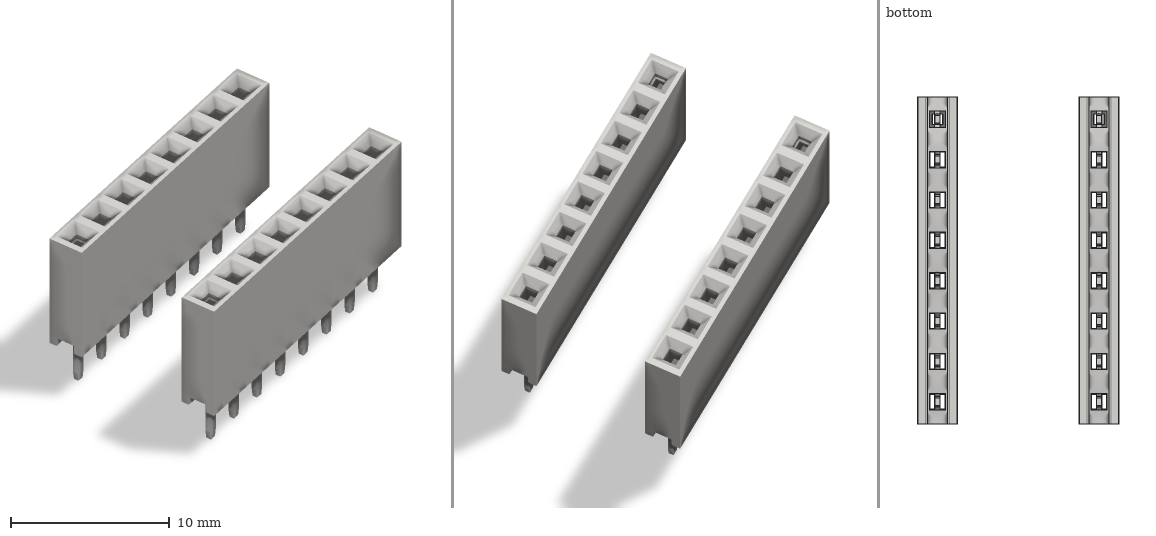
import cadquery as cq

ROW_SPACING = 10.17
CONTACT_COUNT = 8
END_MARGIN = 1.4

HOUSING_LENGTH = 20.58
HOUSING_WIDTH = 2.5
HOUSING_HEIGHT = 8.5

CHANNEL_WIDTH = 1.28
CHANNEL_DEPTH = 0.64
FOOT_ROUND = 0.12

FUNNEL_MOUTH = 1.91
FUNNEL_DEPTH = 0.54
NECK_SIZE = 0.93
NECK_LENGTH = 0.33
CAVITY_SIZE = 1.03

END_HOLE_SIZE = 0.64
END_PLATE_THICKNESS = 0.15

CONTACT_THICKNESS = 0.35
PIN_WIDTH = 0.65
PIN_TIP_WIDTH = 0.45
PIN_TAPER_LENGTH = 0.64
PIN_LENGTH = 3.21
BLADE_DROP = 1.03
BLADE_PROTRUSION = 0.06

FUNNEL_BOTTOM_Z = HOUSING_HEIGHT - FUNNEL_DEPTH
NECK_BOTTOM_Z = FUNNEL_BOTTOM_Z - NECK_LENGTH
BLADE_TOP_Z = FUNNEL_BOTTOM_Z - BLADE_DROP
BLADE_BOTTOM_Z = CHANNEL_DEPTH - BLADE_PROTRUSION
FIRST_CONTACT_Y = END_MARGIN - HOUSING_LENGTH / 2
CONTACT_PITCH = (HOUSING_LENGTH - 2 * END_MARGIN) / (CONTACT_COUNT - 1)


def box_between(size_x, size_y, bottom_z, top_z):
    """Box centred on the Z axis, from bottom_z to top_z."""
    return (
        cq.Workplane("XY")
        .workplane(offset=bottom_z)
        .rect(size_x, size_y)
        .extrude(top_z - bottom_z)
    )


def make_housing_blank():
    """Plain housing bar with the rounded channel along its underside."""
    blank = box_between(HOUSING_WIDTH, HOUSING_LENGTH, 0, HOUSING_HEIGHT)
    channel = box_between(CHANNEL_WIDTH, HOUSING_LENGTH, 0, CHANNEL_DEPTH)
    inner_foot_edges = cq.selectors.BoxSelector(
        (-HOUSING_WIDTH / 2 + FOOT_ROUND, -HOUSING_LENGTH, -FOOT_ROUND),
        (HOUSING_WIDTH / 2 - FOOT_ROUND, HOUSING_LENGTH, FOOT_ROUND),
    )
    return blank.cut(channel).edges("|Y").edges(inner_foot_edges).fillet(FOOT_ROUND)


def make_socket(is_end):
    """Empty space of one socket: funnel, neck and cavity down to the channel."""
    funnel = (
        cq.Workplane("XY")
        .workplane(offset=FUNNEL_BOTTOM_Z)
        .rect(NECK_SIZE, NECK_SIZE)
        .workplane(offset=FUNNEL_DEPTH)
        .rect(FUNNEL_MOUTH, FUNNEL_MOUTH)
        .loft(ruled=True)
    )
    neck = box_between(NECK_SIZE, NECK_SIZE, NECK_BOTTOM_Z, FUNNEL_BOTTOM_Z)
    entry = funnel.union(neck)
    cavity_top_z = NECK_BOTTOM_Z
    if is_end:
        cavity_top_z = NECK_BOTTOM_Z - END_PLATE_THICKNESS
        entry = entry.union(box_between(END_HOLE_SIZE, END_HOLE_SIZE, cavity_top_z, NECK_BOTTOM_Z))
    return entry.union(box_between(CAVITY_SIZE, CAVITY_SIZE, CHANNEL_DEPTH, cavity_top_z))


def make_contact():
    """Blade filling the cavity along Y, with the tapered pin below it."""
    blade = box_between(CONTACT_THICKNESS, CAVITY_SIZE, BLADE_BOTTOM_Z, BLADE_TOP_Z)
    taper_top_z = PIN_TAPER_LENGTH - PIN_LENGTH
    pin = (
        cq.Workplane("YZ")
        .moveTo(-PIN_WIDTH / 2, BLADE_BOTTOM_Z)
        .lineTo(-PIN_WIDTH / 2, taper_top_z)
        .lineTo(-PIN_TIP_WIDTH / 2, -PIN_LENGTH)
        .lineTo(PIN_TIP_WIDTH / 2, -PIN_LENGTH)
        .lineTo(PIN_WIDTH / 2, taper_top_z)
        .lineTo(PIN_WIDTH / 2, BLADE_BOTTOM_Z)
        .close()
        .extrude(CONTACT_THICKNESS / 2, both=True)
    )
    return blade.union(pin)


def make_header(center_x):
    """One header: the housing with its row of sockets and contacts."""
    header = make_housing_blank()
    for index in range(CONTACT_COUNT):
        is_end = index == 0
        place = (0, FIRST_CONTACT_Y + index * CONTACT_PITCH, 0)
        header = header.cut(make_socket(is_end).translate(place))
        header = header.union(make_contact().translate(place))
    return header.translate((center_x, 0, 0))


headers = [make_header(side * ROW_SPACING / 2) for side in (-1, 1)]
result = cq.Compound.makeCompound([header.solids().val() for header in headers])